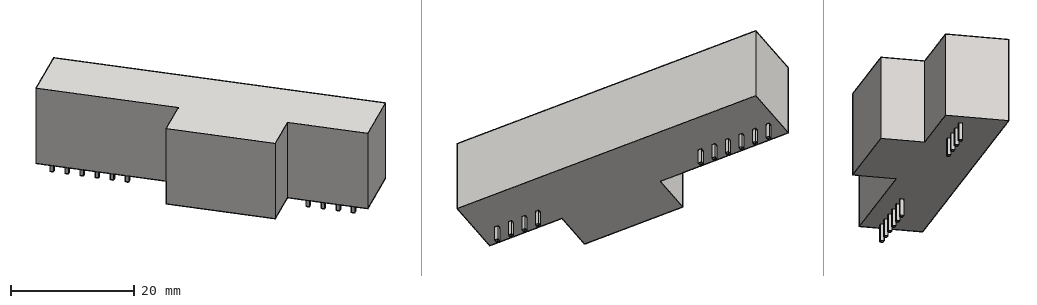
import cadquery as cq

body_length = 56.0
body_height = 14.0
total_depth = 18.0
bar_depth = 10.65
block_start = 24.0
block_width = 18.4

left_row_span = 12.7
left_pin_count = 6
right_pin_count = 4
pin_pitch = left_row_span / (left_pin_count - 1)
pitches_between_groups = 17
first_pin_x = 1.8
pin_from_back = 7.3
pin_side = 0.6
pin_length = 3.0
tip_chamfer = 0.195


def make_body():
    """T-shaped body standing on Z = 0, front of the block at Y = 0."""
    block_depth = total_depth - bar_depth
    bar = cq.Workplane("XY").box(body_length, bar_depth, body_height, centered=False)
    bar = bar.translate((0, block_depth, 0))
    block = cq.Workplane("XY").box(block_width, total_depth, body_height, centered=False)
    return bar.union(block.translate((block_start, 0, 0)))


def make_pins():
    """Square pins with chamfered tips, hanging below the body."""
    left_group = [first_pin_x + i * pin_pitch for i in range(left_pin_count)]
    right_start = first_pin_x + pitches_between_groups * pin_pitch
    right_group = [right_start + i * pin_pitch for i in range(right_pin_count)]
    pin_y = total_depth - pin_from_back
    return (
        cq.Workplane("XY")
        .pushPoints([(x, pin_y) for x in left_group + right_group])
        .rect(pin_side, pin_side)
        .extrude(-pin_length)
        .faces("<Z")
        .chamfer(tip_chamfer)
    )


result = make_body().union(make_pins())